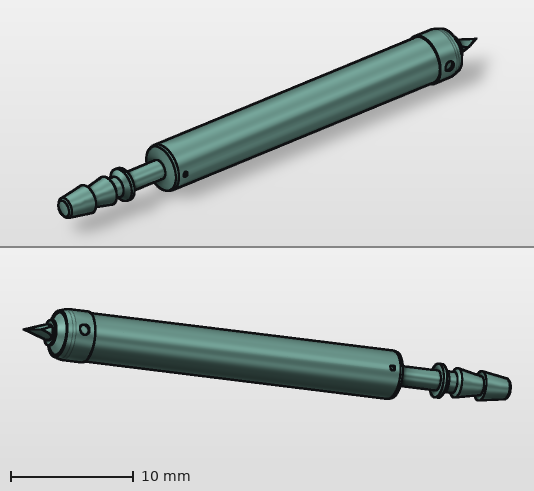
import cadquery as cq

LENGTH = 43.5
POINT_Y = LENGTH / 2

NEEDLE_RADIUS = 0.65
POINT_RUN_X = 1.3
POINT_RUN_Z = 1.95

NOSE_START = 2.3
NOSE_LAND_END = 2.5
NOSE_RADIUS = 1.05
NOSE_CONE_END = 3.05
NOSE_CONE_RADIUS = 1.75
SHOULDER_FRONT_RADIUS = 1.9
SHOULDER_END = 3.5
SHOULDER_RADIUS = 2.05
CAP_START = 3.75
CAP_END = 5.5
CAP_DIAMETER = 4.2
CAP_RADIUS = CAP_DIAMETER / 2

BARREL_RADIUS = 2.0
BARREL_END = 32.97
BEVEL_DEPTH = 0.1
BEVEL_LENGTH = 0.25
REAR_CONE_RISE = 0.2

STEM_RADIUS = 0.83
COLLAR_START = 37.15
COLLAR_LAND = 0.3
COLLAR_TAPER = 0.45
COLLAR_RADIUS = 1.4

BARB_RADIUS = 1.2
BARB_FOOT = 38.63
NECK_RADIUS = 0.85
FIRST_BARB_START = 38.9
SECOND_BARB_START = 41.05
BARB_WAIST_RADIUS = 0.8
END_CHAMFER = 0.17

CAP_DIMPLE_STATION = 4.52
CAP_DIMPLE_RADIUS = 0.45
BARREL_DIMPLE_STATION = 32.28
BARREL_DIMPLE_RADIUS = 0.2
DIMPLE_DEPTH = 0.2


def make_body():
    """Revolve everything behind the needle about the Y axis."""
    bevel_end = BARREL_END + BEVEL_LENGTH
    collar_land_end = COLLAR_START + COLLAR_LAND
    profile = [
        (0, NOSE_START),
        (NOSE_RADIUS, NOSE_START),
        (NOSE_RADIUS, NOSE_LAND_END),
        (NOSE_CONE_RADIUS, NOSE_CONE_END),
        (SHOULDER_FRONT_RADIUS, NOSE_CONE_END),
        (SHOULDER_RADIUS, SHOULDER_END),
        (CAP_RADIUS, CAP_START),
        (CAP_RADIUS, CAP_END),
        (BARREL_RADIUS, CAP_END),
        (BARREL_RADIUS, BARREL_END),
        (BARREL_RADIUS - BEVEL_DEPTH, bevel_end),
        (STEM_RADIUS, bevel_end + REAR_CONE_RISE),
        (STEM_RADIUS, COLLAR_START),
        (COLLAR_RADIUS, COLLAR_START),
        (COLLAR_RADIUS, collar_land_end),
        (NECK_RADIUS, collar_land_end + COLLAR_TAPER),
        (NECK_RADIUS, BARB_FOOT),
        (BARB_RADIUS, FIRST_BARB_START),
        (BARB_WAIST_RADIUS, SECOND_BARB_START),
        (BARB_RADIUS, SECOND_BARB_START),
        (NECK_RADIUS, LENGTH - END_CHAMFER),
        (NECK_RADIUS - END_CHAMFER, LENGTH),
        (0, LENGTH),
    ]
    points = [(radius, POINT_Y - station) for radius, station in profile]
    return cq.Workplane("XY").polyline(points).close().revolve(360, (0, 0), (0, 1))


def make_needle():
    """Round rod trimmed to a diamond-section pyramid with its apex at the point."""
    rod = cq.Workplane("XZ", origin=(0, POINT_Y, 0)).circle(NEEDLE_RADIUS).extrude(CAP_START)
    half_x = NEEDLE_RADIUS * CAP_START / POINT_RUN_X
    half_z = NEEDLE_RADIUS * CAP_START / POINT_RUN_Z
    base = [(half_x, 0), (0, half_z), (-half_x, 0), (0, -half_z)]
    corners = [cq.Vector(x, POINT_Y - CAP_START, z) for x, z in base]
    apex = cq.Vector(0, POINT_Y, 0)
    faces = [cq.Face.makeFromWires(cq.Wire.makePolygon(corners, close=True))]
    for index, corner in enumerate(corners):
        side = [corners[index - 1], corner, apex]
        faces.append(cq.Face.makeFromWires(cq.Wire.makePolygon(side, close=True)))
    pyramid = cq.Solid.makeSolid(cq.Shell.makeShell(faces))
    return rod.intersect(cq.Workplane(pyramid))


def make_dimples(station, radius, surface_radius):
    """Pair of cutters sinking a shallow round hole into the -X and +X sides."""
    span = 2 * surface_radius
    floor = surface_radius - DIMPLE_DEPTH
    cutter = cq.Workplane("YZ", origin=(floor, POINT_Y - station, 0)).circle(radius).extrude(span)
    return cutter.union(cutter.mirror("YZ"))


result = make_body().union(make_needle())
result = result.cut(make_dimples(CAP_DIMPLE_STATION, CAP_DIMPLE_RADIUS, CAP_RADIUS))
result = result.cut(make_dimples(BARREL_DIMPLE_STATION, BARREL_DIMPLE_RADIUS, BARREL_RADIUS))